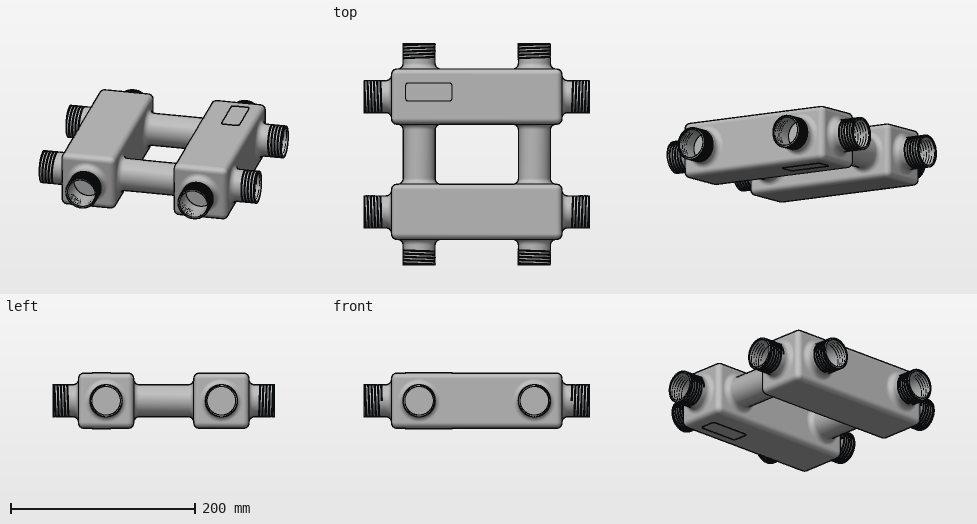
import cadquery as cq
import math

chamber_length = 185.0
chamber_side = 60.0
chamber_edge_radius = 6.0
chamber_spacing = 125.0
overall_length = 245.0
overall_width = 240.0

pipe_radius = 17.5
bore_radius = 15.5
flare_radius = 6.0
pipe_spacing = 125.0
end_stub_length = (overall_length - chamber_length) / 2
side_stub_length = (overall_width - chamber_spacing - chamber_side) / 2
pipe_embed = 1.0

thread_pitch = 3.5
groove_width = 1.4
groove_depth = 0.75
groove_overrun = 0.1
end_thread_length = 19.5
side_thread_turns_less = 0.75
side_thread_length = end_thread_length - side_thread_turns_less * thread_pitch

plate_length = 50.0
plate_width = 20.0
plate_height = 0.5
plate_corner_radius = 3.0
plate_x = -52.0
plate_offset_y = 5.0

chamber_y = chamber_spacing / 2
pipe_x = pipe_spacing / 2
half_side = chamber_side / 2


def make_chamber(y):
    block = cq.Workplane("XY").box(chamber_length, chamber_side, chamber_side)
    return block.edges().fillet(chamber_edge_radius).translate((0, y, 0))


def make_flared_pipe(length):
    """Solid pipe along +Z from a chamber wall at z = 0, with a concave flare at the wall."""
    flare_outer = pipe_radius + flare_radius
    arc_offset = flare_radius * (1 - math.sqrt(0.5))
    profile = (
        cq.Workplane("XZ")
        .moveTo(0, -pipe_embed)
        .lineTo(flare_outer, -pipe_embed)
        .lineTo(flare_outer, 0)
        .threePointArc((pipe_radius + arc_offset, arc_offset), (pipe_radius, flare_radius))
        .lineTo(pipe_radius, length)
        .lineTo(0, length)
        .close()
    )
    return profile.revolve(360, (0, 0, 0), (0, 1, 0))


def make_thread_cutter(length, thread_length):
    """Right-hand helical V groove, from local +X at thread_length below the open end to that end."""
    helix = cq.Wire.makeHelix(thread_pitch, thread_length + thread_pitch, pipe_radius)
    outer = pipe_radius + groove_overrun
    cutter = (
        cq.Workplane("XZ")
        .moveTo(outer, -groove_width / 2)
        .lineTo(pipe_radius - groove_depth, 0)
        .lineTo(outer, groove_width / 2)
        .close()
        .sweep(cq.Workplane(helix), isFrenet=True)
        .translate((0, 0, length - thread_length))
    )
    trim = cq.Workplane("XY").circle(2 * pipe_radius).extrude(length)
    return cutter.intersect(trim)


def make_stub(length, thread_length, plane):
    """Threaded stub along the plane normal, with a blind bore ending level with the chamber wall."""
    stub = make_flared_pipe(length).cut(make_thread_cutter(length, thread_length))
    bore = cq.Workplane("XY").circle(bore_radius).extrude(length)
    return cq.Workplane(stub.cut(bore).val().moved(plane.location))


def make_plate(side):
    """Label plate on the top (side = 1) or bottom (side = -1) of the rear chamber."""
    plate = (
        cq.Workplane("XY")
        .box(plate_length, plate_width, 2 * plate_height)
        .edges("|Z")
        .fillet(plate_corner_radius)
    )
    return plate.translate((plate_x, chamber_y + plate_offset_y, side * half_side))


result = make_chamber(chamber_y).union(make_chamber(-chamber_y))

half_gap = chamber_y - half_side
for x in (-pipe_x, pipe_x):
    half_pipe = make_flared_pipe(half_gap).rotate((0, 0, 0), (1, 0, 0), -90)
    half_pipe = half_pipe.translate((x, -half_gap, 0))
    cross_pipe = half_pipe.union(half_pipe.mirror("XZ")).clean()
    result = result.union(cross_pipe)

for y in (-chamber_y, chamber_y):
    wall = cq.Plane(origin=(-chamber_length / 2, y, 0), xDir=(0, -1, 0), normal=(-1, 0, 0))
    end_stub = make_stub(end_stub_length, end_thread_length, wall)
    result = result.union(end_stub).union(end_stub.mirror("YZ"))

for x in (-pipe_x, pipe_x):
    wall = cq.Plane(origin=(x, chamber_y + half_side, 0), xDir=(0, 0, -1), normal=(0, 1, 0))
    side_stub = make_stub(side_stub_length, side_thread_length, wall)
    result = result.union(side_stub).union(side_stub.mirror("XZ"))

for side in (-1, 1):
    result = result.union(make_plate(side))